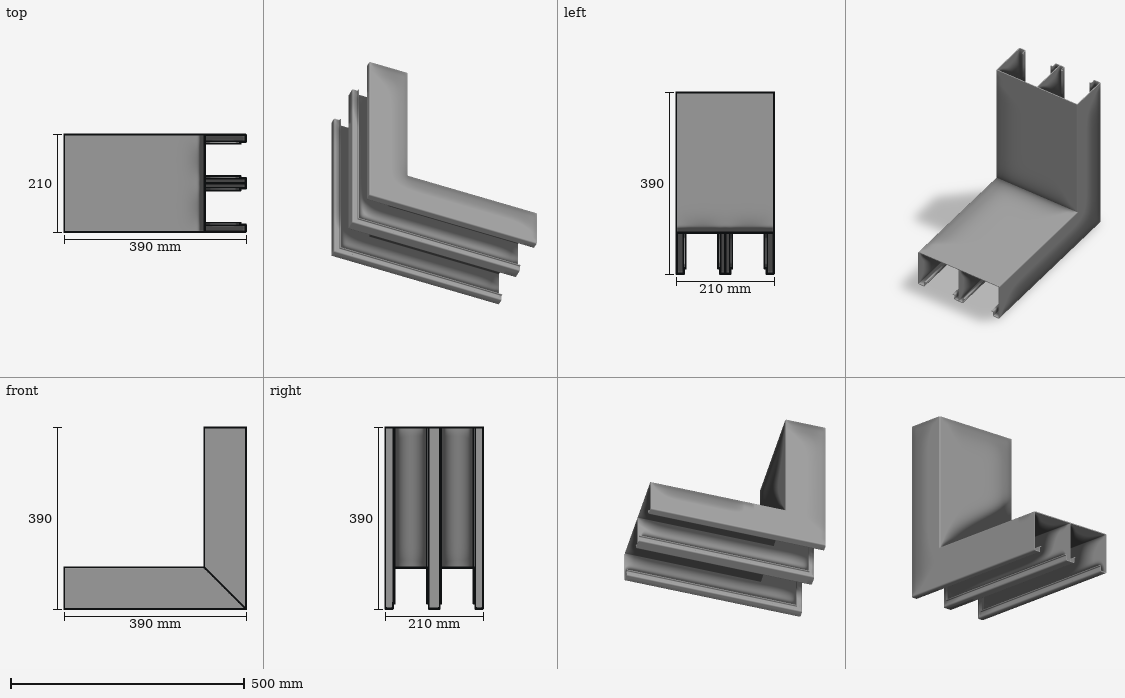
import cadquery as cq
import math


arm_length = 390.0
trunk_width = 210.0
trunk_depth = 90.0
wall = 2.0
outer_radius = 3.0
inner_radius = outer_radius - wall
tip_radius = 0.9
side_foot = 17.2
middle_foot_half = 12.0
lip_height = 14.0
lip_reach = 3.6
step_height = 5.0
step_depth = 0.5
step_radius = 0.2

half_width = trunk_width / 2
half_wall = wall / 2


def lip_corners(foot_end, direction):
    """Corners (y, z, radius) round a foot end, its upright and its out-turned lip.

    foot_end is the outer face of the foot, direction the way the lip points along Y.
    """
    neck = foot_end - direction * step_depth
    tip = foot_end + direction * lip_reach
    upright_inside = foot_end - direction * wall
    lip_underside = lip_height - wall
    return [
        (foot_end, 0, outer_radius),
        (foot_end, step_height, step_radius),
        (neck, step_height, step_radius),
        (neck, lip_underside, inner_radius),
        (tip, lip_underside, tip_radius),
        (tip, lip_height, tip_radius),
        (upright_inside, lip_height, outer_radius),
        (upright_inside, wall, inner_radius),
    ]


def section_corners():
    """Corners (y, z, radius) of the whole section, which is symmetric about y = 0."""
    side_inside = half_width - wall
    back_inside = trunk_depth - wall

    side_wall_outside = [
        (half_width, trunk_depth, outer_radius),
        (half_width, 0, outer_radius),
    ]
    compartment = [
        (side_inside, wall, inner_radius),
        (side_inside, back_inside, inner_radius),
        (half_wall, back_inside, inner_radius),
        (half_wall, wall, inner_radius),
    ]
    side_lip = lip_corners(half_width - side_foot, -1)
    middle_lip = lip_corners(middle_foot_half, 1)

    half = side_wall_outside + side_lip + compartment + middle_lip[::-1]
    mirrored_half = [(-y, z, radius) for y, z, radius in reversed(half)]
    return half + mirrored_half


def step_towards(start, target, distance):
    """Point at the given distance from start on the line to target."""
    dy = target[0] - start[0]
    dz = target[1] - start[1]
    share = distance / math.hypot(dy, dz)
    return (start[0] + dy * share, start[1] + dz * share)


def rounded_outline(corners):
    """Closed wire on the YZ plane through right-angled corners, each rounded by its radius."""
    outline = None
    for index, (y, z, radius) in enumerate(corners):
        corner = (y, z)
        before = corners[index - 1]
        after = corners[(index + 1) % len(corners)]
        arc_start = step_towards(corner, before, radius)
        arc_end = step_towards(corner, after, radius)
        centre = (arc_start[0] + arc_end[0] - y, arc_start[1] + arc_end[1] - z)
        arc_middle = step_towards(centre, corner, radius)
        if outline is None:
            outline = cq.Workplane("YZ").moveTo(*arc_start)
        else:
            outline = outline.lineTo(*arc_start)
        outline = outline.threePointArc(arc_middle, arc_end)
    return outline.close()


def lower_side_of_mitre():
    """Wedge that keeps everything below the mitre plane x + z = arm_length."""
    triangle = cq.Workplane("XZ").polyline([(0, 0), (arm_length, 0), (0, arm_length)]).close()
    return triangle.extrude(half_width, both=True)


def make_horizontal_arm():
    """Arm along X, open side down, its far end cut at the mitre."""
    bar = rounded_outline(section_corners()).extrude(arm_length)
    return bar.intersect(lower_side_of_mitre())


def make_vertical_arm(horizontal):
    """Mirror image of the horizontal arm across the mitre plane."""
    mitre_normal = cq.Vector(1, 0, 1)
    return horizontal.mirror(mitre_normal, (arm_length, 0, 0))


horizontal_arm = make_horizontal_arm()
vertical_arm = make_vertical_arm(horizontal_arm)

result = cq.Compound.makeCompound([horizontal_arm.val(), vertical_arm.val()])